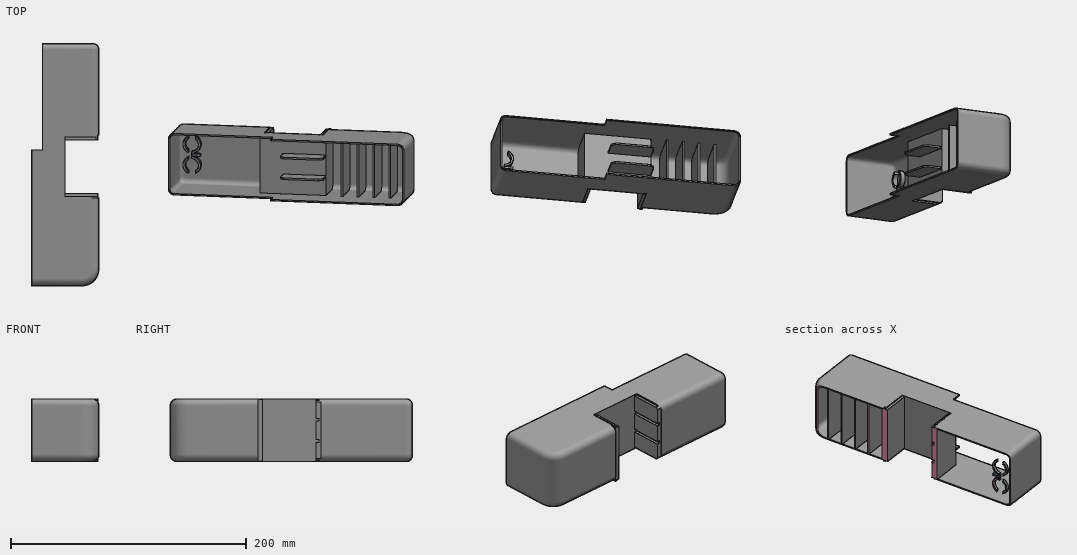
import cadquery as cq

width = 57.0
length = 205.4
height = 53.2
wall = 1.2
half_height = height / 2
full_height = (-half_height, half_height)

front_corner_radius = 14.4
edge_radius = 5.8
rear_radius = 5.0

step_depth = 9.2
step_start = 115.5

notch_floor = 28.3
notch_start = 78.5
notch_end = 123.6
floor_wall = 2.5
side_wall = 6.0
block_face = notch_floor - floor_wall
block_start = notch_start - side_wall
block_end = notch_end + side_wall

lip_width = 4.1
lip_face = 56.3
rebate_width = 2.5
front_rebate_depth = 0.6
rear_rebate_depth = wall
rear_rebate_end = 54.5

fin_spacing = 17.9
fin_thickness = 1.5
fin_edge = 9.2
fin_end = 109.3
fin_chamfer = 3.3
slot_height = 2.5
slot_depth = 2.5

rib_count = 4
rib_pitch = 13.8
rib_thickness = 1.6
rib_start = 16.5
rib_edge = 24.9

ring_outer_radius = 7.5
ring_inner_radius = 5.8
ring_center_y = 193.7
ring_center_z = fin_spacing / 2
ring_height = 4.1
ring_gap = 6.2
bar_thickness = 1.8
bar_length = 7.2


def box(x_range, y_range, z_range):
    """Axis-aligned box given by its limits along each axis."""
    sizes = [high - low for low, high in (x_range, y_range, z_range)]
    corner = (x_range[0], y_range[0], z_range[0])
    return cq.Workplane("XY").box(*sizes, centered=False).translate(corner)


def rounded_body(inset):
    """Rounded solid inside the housing outline, offset inwards by inset on all closed sides."""
    half = half_height - inset
    body = box((0, width - inset), (inset, length - inset), (-half, half))
    body = body.edges("|Z and >X and <Y").fillet(front_corner_radius - inset)
    rim = body.faces(">Z or <Z").edges("not (<X or >Y)")
    body = rim.fillet(edge_radius - inset)
    return body.faces(">Y").edges("not <X").fillet(rear_radius - inset)


def at_both_heights(solid):
    """The solid together with its mirror image below Z = 0."""
    return solid.union(solid.mirror("XY"))


def fins():
    """Two flat fins on the -X face of the block, bevelled at their free corners."""
    low = (fin_spacing - fin_thickness) / 2
    fin = box((fin_edge, notch_floor), (block_start, fin_end), (low, low + fin_thickness))
    fin = fin.edges("|Z and <X").chamfer(fin_chamfer)
    return at_both_heights(fin)


def ribs():
    """Parallel ribs across the full inner height, reaching to the +X wall."""
    row = cq.Workplane("XY")
    for index in range(rib_count):
        start = rib_start + index * rib_pitch
        row = row.add(box((rib_edge, width), (start, start + rib_thickness), full_height))
    return row.combine()


def split_rings():
    """Two rings with axes along X, split towards +Z and -Z and tied together by a bar."""
    low_x = width - wall - ring_height
    ring = (
        cq.Workplane("YZ", origin=(low_x, ring_center_y, ring_center_z))
        .circle(ring_outer_radius)
        .circle(ring_inner_radius)
        .extrude(width - low_x)
    )
    x_range = (low_x, width)
    gap_end = ring_center_y + ring_gap / 2
    outer_gap = box(x_range, (gap_end - ring_gap, gap_end), (ring_center_z, half_height))
    inner_gap = box(x_range, (ring_center_y, gap_end), (0, ring_center_z))
    bar = box(x_range, (ring_center_y - bar_length, ring_center_y), (-bar_thickness / 2, bar_thickness / 2))
    return at_both_heights(ring.cut(outer_gap).cut(inner_gap)).union(bar)


def front_lip():
    """Square-cornered lip on the front side of the notch."""
    return box((notch_floor, lip_face), (notch_start - lip_width, notch_start), full_height)


def lip_rebates():
    """Shallow steps along the notch edges, on the top and bottom faces."""
    front = box(
        (notch_floor, width),
        (notch_start - rebate_width, notch_start),
        (half_height - front_rebate_depth, half_height),
    )
    rear = box(
        (notch_floor, rear_rebate_end),
        (notch_end, notch_end + rebate_width),
        (half_height - rear_rebate_depth, half_height),
    )
    return at_both_heights(front.union(rear))


def slots():
    """Two slots in the rear notch wall, open towards the notch and to +X."""
    low = (fin_spacing - slot_height) / 2
    slot = box((notch_floor, width), (notch_end, notch_end + slot_depth), (low, low + slot_height))
    return at_both_heights(slot)


outer = rounded_body(0)
block = box((block_face, width), (block_start, block_end), full_height)
notch = box((notch_floor, width), (notch_start, notch_end), full_height)
lip_setback = box((lip_face, width), (notch_start - lip_width, notch_end + lip_width), full_height)
rim_step = box((0, step_depth), (step_start, length), full_height)

shell = outer.cut(rounded_body(wall))
interior = block.union(ribs()).union(split_rings()).intersect(outer).union(fins())
housing = shell.union(interior).union(front_lip())
result = housing.cut(notch).cut(lip_setback).cut(rim_step).cut(lip_rebates()).cut(slots())